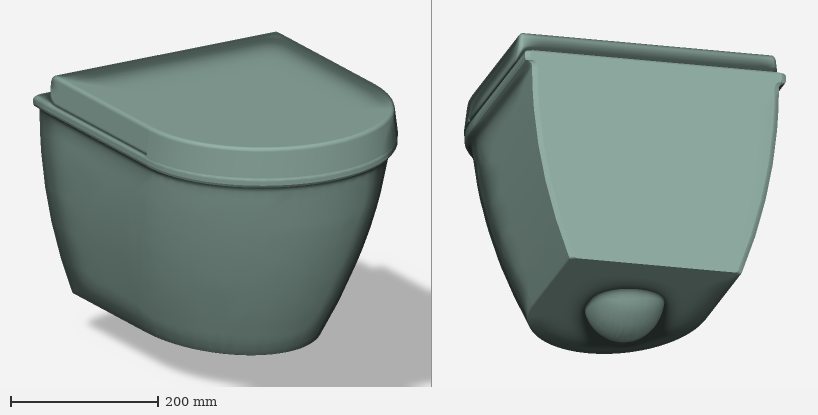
import cadquery as cq
import math

total_length = 485.0
overall_width = 369.0

shell_height = 272.5
shell_top_half_width = 173.5
shell_bottom_half_width = 121.0
shell_top_reach = 473.0
shell_bottom_reach = 364.0
nose_top_slope = 0.19
nose_top_start = 301.0
nose_bottom_start = 194.0
shell_bottom_round = 3.0
shell_sections = 6
back_bevel_depth = 3.5
back_bevel_width = 7.0

cove_radius = 17.0 / 2
cove_sections = 5
rim_bottom = shell_height + cove_radius
rim_top = 296.5
rim_half_width = 184.0
rim_top_round = 6.0
rim_back_bevel = 3.0
rim_bottom_bevel = 4.0

trap_x = 167.5
trap_depth = 48.5
trap_tube_radius = 51.5
trap_bend_radius = 22.5
trap_axis_z = trap_tube_radius + trap_bend_radius - trap_depth

lid_back = 41.0
lid_top = 337.0
lid_height = lid_top - rim_top
lid_half_width = overall_width / 2
lid_nose_start = total_length - lid_half_width
lid_draft = 7.0
lid_back_top_round = 9.5
lid_back_bottom_round = 19.5
lid_edge_round = 6.0
lid_overrun = 24.5


def bowl_outline(z, half_width, nose_start, reach):
    """Closed plan outline at height z: bevelled back corners, straight sides, elliptical nose."""
    return (
        cq.Workplane("XY", origin=(0, 0, z))
        .moveTo(0, half_width - back_bevel_width)
        .lineTo(0, back_bevel_width - half_width)
        .lineTo(back_bevel_depth, -half_width)
        .lineTo(nose_start, -half_width)
        .ellipseArc(reach - nose_start, half_width, -90, 90, sense=1)
        .lineTo(back_bevel_depth, half_width)
        .close()
    )


def loft_through(outlines):
    """Smooth solid through the given plan outlines."""
    return cq.Workplane(cq.Solid.makeLoft([outline.val() for outline in outlines]))


def shell_outline(z):
    """Section of the shell; sides and nose draw in parabolically towards the bottom."""
    fall = 1 - z / shell_height
    lean = nose_top_slope * shell_height
    bend = shell_top_reach - shell_bottom_reach - lean
    half_width = shell_top_half_width - (shell_top_half_width - shell_bottom_half_width) * fall**2
    nose_start = nose_top_start - (nose_top_start - nose_bottom_start) * fall
    reach = shell_top_reach - lean * fall - bend * fall**2
    return bowl_outline(z, half_width, nose_start, reach)


def cove_outline(angle):
    """Section of the hollow quarter round that flares from the shell out to the rim."""
    flare = cove_radius * (1 - math.cos(angle))
    z = shell_height + cove_radius * math.sin(angle)
    return bowl_outline(z, shell_top_half_width + flare, nose_top_start, shell_top_reach + flare)


def make_shell():
    step = shell_height / (shell_sections - 1)
    shell = loft_through([shell_outline(step * i) for i in range(shell_sections)])
    return shell.faces("<Z").edges("not <X").fillet(shell_bottom_round)


def make_cove():
    step = math.pi / 2 / (cove_sections - 1)
    return loft_through([cove_outline(step * i) for i in range(cove_sections)])


def rim_outline(z):
    return bowl_outline(z, rim_half_width, nose_top_start, total_length)


def make_rim():
    """Rim band with rounded top edges, resting on a bevelled band that grows out of the cove."""
    bevel_top = rim_bottom + rim_bottom_bevel
    bevel = loft_through([cove_outline(math.pi / 2), rim_outline(bevel_top)])
    band = rim_outline(bevel_top).extrude(rim_top - bevel_top)
    band = band.edges("<X and >Z").chamfer(rim_back_bevel)
    band = band.faces(">Z").edges("not <X").fillet(rim_top_round)
    return bevel.union(band)


def make_trap():
    """Bent tube, cut off flush with the flat underside of the shell."""
    tube_section = (
        cq.Workplane("YZ", origin=(trap_x, 0, trap_axis_z))
        .moveTo(-trap_tube_radius, 0)
        .lineTo(-trap_tube_radius, -trap_bend_radius)
        .threePointArc((0, -trap_bend_radius - trap_tube_radius), (trap_tube_radius, -trap_bend_radius))
        .lineTo(trap_tube_radius, 0)
        .close()
    )
    bend = tube_section.revolve(360, (0, 0), (1, 0))
    return bend.intersect(cq.Workplane("XY").rect(2 * total_length, overall_width).extrude(-trap_depth))


def make_bowl():
    return make_shell().union(make_cove()).union(make_rim()).union(make_trap())


def lid_slab(start, end):
    """Block that keeps the lid between two x positions."""
    middle = (start + end) / 2
    return cq.Workplane("XY").center(middle, 0).rect(end - start, 2 * overall_width).extrude(lid_top)


def make_lid():
    """Lid with rounded edges all along its back part; the nose keeps a sharp lower edge."""
    blank = (
        cq.Workplane("XY", origin=(0, 0, rim_top))
        .moveTo(lid_back - lid_overrun, -lid_half_width)
        .lineTo(lid_nose_start, -lid_half_width)
        .threePointArc((total_length, 0), (lid_nose_start, lid_half_width))
        .lineTo(lid_back - lid_overrun, lid_half_width)
        .close()
        .extrude(lid_height, taper=lid_draft)
    )
    back = blank.intersect(lid_slab(lid_back, lid_nose_start))
    back = back.edges("<X and >Z").fillet(lid_back_top_round)
    back = back.edges("<X and <Z").fillet(lid_back_bottom_round)
    back = back.faces(">Z").edges(">Y or <Y").fillet(lid_edge_round)
    nose = blank.intersect(lid_slab(lid_nose_start, total_length))
    nose = nose.faces(">Z").edges("not <X").fillet(lid_edge_round)
    return back.union(nose)


bowl = make_bowl()
lid = make_lid()
result = cq.Compound.makeCompound([bowl.val(), lid.val()])